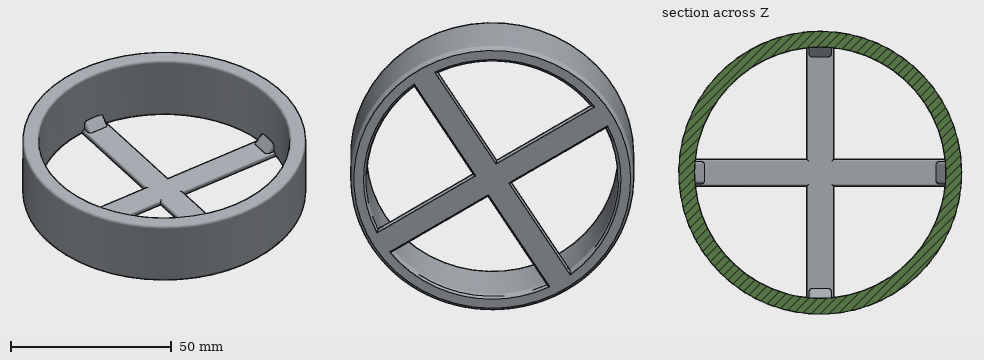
import cadquery as cq

outer_diameter = 88.0
inner_diameter = 78.0
ring_height = 22.0
rim_edge_radius = 1.0
base_chamfer = 1.0
base_blend_radius = 1.0

spoke_width = 8.5
spoke_thickness = 2.0
spoke_top_radius = 0.7
spoke_base_chamfer = 0.5
spoke_base_blend_radius = 0.5

wedge_width = spoke_width - 2 * spoke_top_radius
wedge_reach = 3.0
wedge_rise = 3.0
wedge_edge_radius = 1.0

outer_radius = outer_diameter / 2
inner_radius = inner_diameter / 2
wall_middle_radius = (outer_radius + inner_radius) / 2


def edges_at_height(height):
    """Selector for the edges that lie level at the given height."""
    slack = 0.01
    span = outer_diameter
    return cq.selectors.BoxSelector(
        (-span, -span, height - slack), (span, span, height + slack), boundingbox=True
    )


def make_ring():
    """Ring with a rounded rim and a chamfered base that blends into the walls."""
    ring = cq.Workplane("XY").circle(outer_radius).circle(inner_radius).extrude(ring_height)
    ring = ring.faces(">Z").edges().fillet(rim_edge_radius)
    ring = ring.faces("<Z").edges().chamfer(base_chamfer)
    return ring.edges(edges_at_height(base_chamfer)).fillet(base_blend_radius)


def make_bar():
    """Bar along X with rounded top edges and chamfered bottom edges that blend into its sides."""
    bar = cq.Workplane("XY").box(
        2 * wall_middle_radius, spoke_width, spoke_thickness, centered=(True, True, False)
    )
    bar = bar.edges("|X and >Z").fillet(spoke_top_radius)
    bar = bar.edges("|X and <Z").chamfer(spoke_base_chamfer)
    return bar.edges("|X").edges(edges_at_height(spoke_base_chamfer)).fillet(spoke_base_blend_radius)


def make_wedge():
    """Brace at the +X spoke end, sloping up to the wall, with rounded side edges."""
    slope = wedge_rise / wedge_reach
    sink = spoke_thickness / 2
    toe_radius = inner_radius - wedge_reach - sink / slope
    top = sink + slope * (wall_middle_radius - toe_radius)
    wedge = (
        cq.Workplane("XZ")
        .moveTo(toe_radius, sink)
        .lineTo(wall_middle_radius, sink)
        .lineTo(wall_middle_radius, top)
        .close()
        .extrude(wedge_width / 2, both=True)
    )
    return wedge.edges("not (|X or |Y or |Z)").fillet(wedge_edge_radius)


def turned(shape, angle):
    """Copy of a shape turned about the ring axis."""
    return shape.rotate((0, 0, 0), (0, 0, 1), angle)


result = make_ring()
for bar_angle in (0, 90):
    result = result.union(turned(make_bar(), bar_angle))
for wedge_angle in (0, 90, 180, 270):
    result = result.union(turned(make_wedge(), wedge_angle))